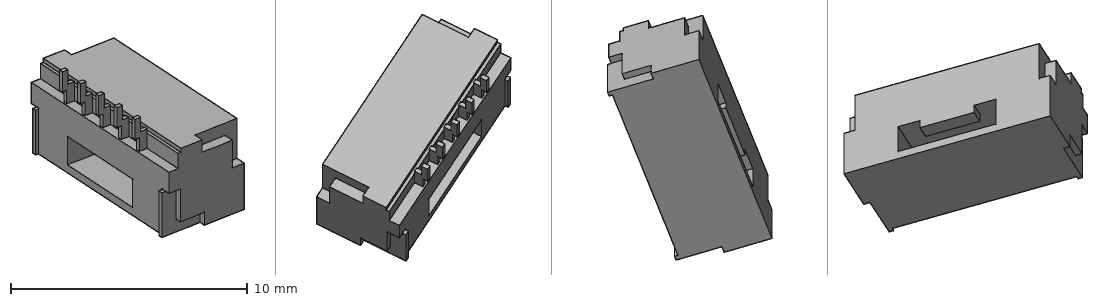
import cadquery as cq


width = 9.5
depth = 4.2
body_height = 4.25
overall_height = 4.95

housing_front = 0.15
shelf_height = 3.3
upper_front = 0.65
groove_depth = 0.2
groove_rear = 0.8

recess_depth = 0.5
rear_recess_thickness = 0.64
rear_recess_bottom = 2.28
top_recess_thickness = 0.61
top_recess_length = 2.26
front_recess_rear = 0.76
front_recess_top = 2.25
base_recess_height = 0.64
base_recess_rear = 2.05

tab_thickness = 0.21
tab_height = 2.2

window_width = 4.49
window_bottom = 0.4
window_top = 1.8
catch_width = 2.5
catch_height = 0.4
catch_length = 0.62

tail_count = 5
tail_pitch = 1.25
tail_width = 0.2
tail_lower_front = 0.24
tail_upper_rear = 0.3
tail_bend_bottom = 3.96


def box(x_min, x_max, y_min, y_max, z_min, z_max):
    """Block between the given limits."""
    size = (x_max - x_min, y_max - y_min, z_max - z_min)
    return cq.Workplane("XY").box(*size, centered=False).translate((x_min, y_min, z_min))


def extrude_profile(points, x_start, thickness):
    """Side profile of (y, z) points, extruded along +X from x_start."""
    return cq.Workplane("YZ").workplane(offset=x_start).polyline(points).close().extrude(thickness)


def with_mirror(solid):
    """The solid together with its copy at the opposite end of the part."""
    return solid.union(solid.mirror("YZ"))


def make_housing():
    profile = [
        (housing_front, 0),
        (depth, 0),
        (depth, body_height),
        (groove_rear, body_height),
        (groove_rear, body_height - groove_depth),
        (upper_front, body_height - groove_depth),
        (upper_front, shelf_height),
        (housing_front, shelf_height),
    ]
    return extrude_profile(profile, -width / 2, width)


def make_rear_recesses():
    """L-shaped recesses along the rear and top edges of both ends."""
    rear_inner = depth - rear_recess_thickness
    top_bottom = body_height - top_recess_thickness
    profile = [
        (depth, rear_recess_bottom),
        (depth, body_height),
        (depth - top_recess_length, body_height),
        (depth - top_recess_length, top_bottom),
        (rear_inner, top_bottom),
        (rear_inner, rear_recess_bottom),
    ]
    return with_mirror(extrude_profile(profile, -width / 2, recess_depth))


def front_l_profile(top):
    """L shape along the front and base edges, reaching up to the given height."""
    return [
        (0, 0),
        (base_recess_rear, 0),
        (base_recess_rear, base_recess_height),
        (front_recess_rear, base_recess_height),
        (front_recess_rear, top),
        (0, top),
    ]


def make_front_recesses():
    return with_mirror(extrude_profile(front_l_profile(front_recess_top), -width / 2, recess_depth))


def make_tabs():
    """L-shaped solder tabs lying against the inner walls of the front recesses."""
    tab_start = -width / 2 + recess_depth - tab_thickness
    return with_mirror(extrude_profile(front_l_profile(tab_height), tab_start, tab_thickness))


def make_window():
    """Opening through the full depth, less the catch under its ceiling."""
    half_window = window_width / 2
    half_catch = catch_width / 2
    opening = box(-half_window, half_window, 0, depth, window_bottom, window_top)
    catch = box(-half_catch, half_catch, depth - catch_length, depth, window_top - catch_height, window_top)
    return opening.cut(catch)


def make_tail(x_centre):
    """Cranked contact tail standing on the shelf against the upper housing."""
    profile = [
        (upper_front, shelf_height),
        (upper_front, body_height),
        (tail_upper_rear, body_height),
        (tail_upper_rear, overall_height),
        (0, overall_height),
        (0, tail_bend_bottom),
        (tail_lower_front, tail_bend_bottom),
        (tail_lower_front, shelf_height),
    ]
    return extrude_profile(profile, x_centre - tail_width / 2, tail_width)


result = make_housing().cut(make_rear_recesses()).cut(make_front_recesses()).cut(make_window())
result = result.union(make_tabs())
for index in range(tail_count):
    result = result.union(make_tail((index - (tail_count - 1) / 2) * tail_pitch))